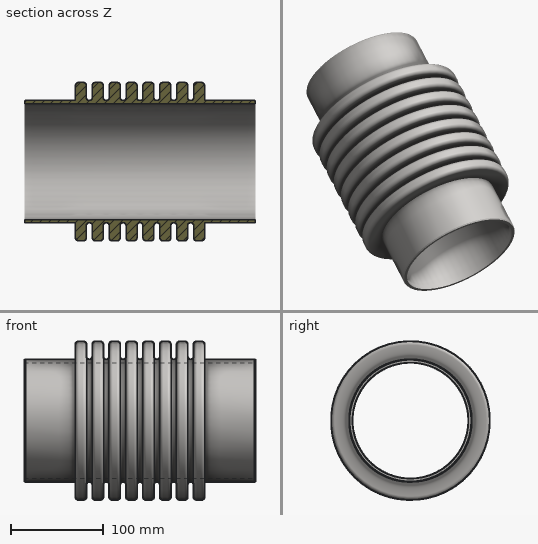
import cadquery as cq

length = 250.0
pipe_diameter = 133.0
bore_diameter = 125.0
ring_diameter = 172.0

ring_count = 8
ring_pitch = 18.2
ring_width = 12.5
crown_radius = 4.0
root_radius = 2.2

end_chamfer_length = 1.2
end_chamfer_depth = 0.8

pipe_radius = pipe_diameter / 2
ring_radius = ring_diameter / 2
first_ring_x = -ring_pitch * (ring_count - 1) / 2
diagonal = 0.5 ** 0.5


def add_groove_root(profile, left, right):
    """Continue the profile across the rounded groove from one ring to the next."""
    shoulder = pipe_radius + root_radius
    arc_mid = root_radius * (1 - diagonal)
    return (
        profile.lineTo(left, shoulder)
        .threePointArc((left + arc_mid, pipe_radius + arc_mid), (left + root_radius, pipe_radius))
        .lineTo(right - root_radius, pipe_radius)
        .threePointArc((right - arc_mid, pipe_radius + arc_mid), (right, shoulder))
    )


def add_ring_crown(profile, left, right):
    """Continue the profile up one ring flank and over its rounded crown."""
    shoulder = ring_radius - crown_radius
    arc_mid = crown_radius * (1 - diagonal)
    return (
        profile.lineTo(left, shoulder)
        .threePointArc((left + arc_mid, ring_radius - arc_mid), (left + crown_radius, ring_radius))
        .lineTo(right - crown_radius, ring_radius)
        .threePointArc((right - arc_mid, ring_radius - arc_mid), (right, shoulder))
    )


end_x = length / 2
end_radius = pipe_radius - end_chamfer_depth
profile = (
    cq.Workplane("XY")
    .moveTo(-end_x, bore_diameter / 2)
    .lineTo(-end_x, end_radius)
    .lineTo(-end_x + end_chamfer_length, pipe_radius)
    .lineTo(first_ring_x - ring_width / 2, pipe_radius)
)
for index in range(ring_count):
    ring_left = first_ring_x + index * ring_pitch - ring_width / 2
    ring_right = ring_left + ring_width
    profile = add_ring_crown(profile, ring_left, ring_right)
    if index < ring_count - 1:
        profile = add_groove_root(profile, ring_right, ring_left + ring_pitch)

profile = (
    profile.lineTo(ring_right, pipe_radius)
    .lineTo(end_x - end_chamfer_length, pipe_radius)
    .lineTo(end_x, end_radius)
    .lineTo(end_x, bore_diameter / 2)
    .close()
)

result = profile.revolve(360, (0, 0, 0), (1, 0, 0))